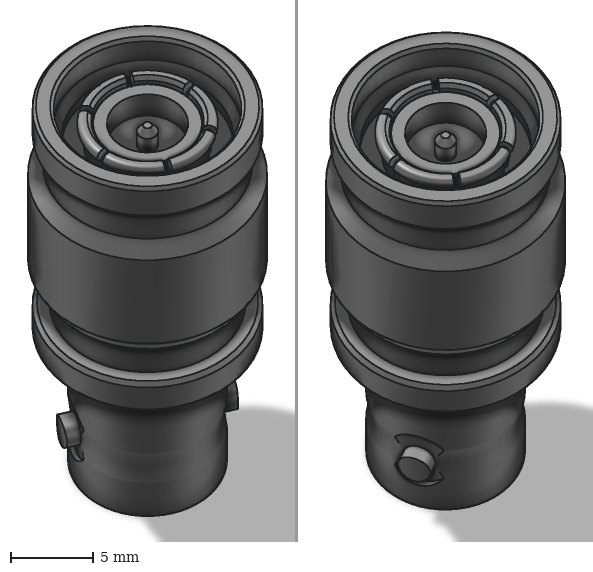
import cadquery as cq


jack_radius = 4.85
groove_waist_radius = 4.7
groove_height = 4.2
groove_half_width = 1.3
lug_height = 4.15
lug_radius = 1.05
lug_reach = 5.55
spot_floor_offset = 4.57
spot_floor_radius = 2.05
spot_rim_radius = 2.25

flange_bottom = 11.3
flange_top = 13.78
flange_radius = 7.0
flange_chamfer = 0.28
collar_top = 15.75
collar_radius = 6.0
undercut_radius = 4.5

nut_bottom = 16.1
nut_bottom_radius = 6.33
bevel_bottom = 16.7
bevel_bottom_radius = 6.8
bevel_top = 17.25
bevel_top_radius = 6.95
barrel_bottom = 17.65
barrel_top = 24.95
barrel_radius = 7.3
nut_neck_bottom = 25.9
nut_neck_radius = 6.4
rim_bottom = 28.35
rim_top = 30.9
rim_radius = 7.0
rim_chamfer = 0.22

mouth_radius = 5.72
mouth_cone_top = 29.05
mouth_cone_bottom = 28.27
socket_radius = 5.22
socket_floor = 27.5

ring_top = 29.85
ring_outer_radius = 3.9
ring_inner_radius = 3.43
ring_lead_in = 0.25
bead_radius = 4.3
bead_height = 0.85
slot_width = 0.43
slot_count = 6

insulator_top = 29.4
insulator_radius = 3.3
insulator_bore_radius = 2.47
contact_top = 29.23
contact_shoulder = 28.7
contact_radius = 0.65
contact_tip_radius = 0.28


def revolve_outline(outline):
    """Close an XZ outline (X = radius, Y = height) and turn it about Z."""
    return outline.close().revolve(360, (0, 0, 0), (0, 1, 0))


def make_body():
    outline = (
        cq.Workplane("XZ")
        .moveTo(0, 0)
        .lineTo(jack_radius, 0)
        .lineTo(jack_radius, groove_height - groove_half_width)
        .threePointArc(
            (groove_waist_radius, groove_height),
            (jack_radius, groove_height + groove_half_width),
        )
        .lineTo(jack_radius, flange_bottom)
        .lineTo(flange_radius - flange_chamfer, flange_bottom)
        .lineTo(flange_radius, flange_bottom + flange_chamfer)
        .lineTo(flange_radius, flange_top - flange_chamfer)
        .lineTo(flange_radius - flange_chamfer, flange_top)
        .lineTo(collar_radius, flange_top)
        .lineTo(collar_radius, collar_top)
        .lineTo(undercut_radius, collar_top)
        .lineTo(undercut_radius, nut_bottom)
        .lineTo(nut_bottom_radius, nut_bottom)
        .lineTo(bevel_bottom_radius, bevel_bottom)
        .lineTo(bevel_top_radius, bevel_top)
        .lineTo(barrel_radius, barrel_bottom)
        .lineTo(barrel_radius, barrel_top)
        .lineTo(nut_neck_radius, nut_neck_bottom)
        .lineTo(nut_neck_radius, rim_bottom)
        .lineTo(rim_radius - rim_chamfer, rim_bottom)
        .lineTo(rim_radius, rim_bottom + rim_chamfer)
        .lineTo(rim_radius, rim_top - rim_chamfer)
        .lineTo(rim_radius - rim_chamfer, rim_top)
        .lineTo(mouth_radius + rim_chamfer, rim_top)
        .lineTo(mouth_radius, rim_top - rim_chamfer)
        .lineTo(mouth_radius, mouth_cone_top)
        .lineTo(socket_radius, mouth_cone_bottom)
        .lineTo(socket_radius, socket_floor)
        .lineTo(0, socket_floor)
    )
    return revolve_outline(outline)


def make_contact_ring():
    outline = (
        cq.Workplane("XZ")
        .moveTo(ring_inner_radius, socket_floor)
        .lineTo(ring_outer_radius, socket_floor)
        .lineTo(ring_outer_radius, ring_top - bead_height)
        .threePointArc(
            (bead_radius, ring_top - bead_height / 2),
            (ring_outer_radius, ring_top),
        )
        .lineTo(ring_inner_radius + ring_lead_in, ring_top)
        .lineTo(ring_inner_radius, ring_top - ring_lead_in)
    )
    ring = revolve_outline(outline)
    bar = cq.Workplane("XY", origin=(0, 0, socket_floor)).box(
        2 * socket_radius, slot_width, ring_top - socket_floor, centered=(True, True, False)
    )
    for index in range(slot_count // 2):
        ring = ring.cut(bar.rotate((0, 0, 0), (0, 0, 1), index * 360 / slot_count))
    return ring


def make_insulator():
    return (
        cq.Workplane("XY", origin=(0, 0, socket_floor))
        .circle(insulator_radius)
        .circle(insulator_bore_radius)
        .extrude(insulator_top - socket_floor)
    )


def make_centre_contact():
    outline = (
        cq.Workplane("XZ")
        .moveTo(0, socket_floor)
        .lineTo(contact_radius, socket_floor)
        .lineTo(contact_radius, contact_shoulder)
        .lineTo(contact_tip_radius, contact_top)
        .lineTo(0, contact_top)
    )
    return revolve_outline(outline)


def make_spot_face_cutter():
    """Cone frustum on the -Y side, widening outwards from the spot face."""
    wall_slope = (spot_rim_radius - spot_floor_radius) / (jack_radius - spot_floor_offset)
    outer_radius = spot_floor_radius + wall_slope * (lug_reach - spot_floor_offset)
    return cq.Workplane(
        cq.Solid.makeCone(
            spot_floor_radius,
            outer_radius,
            lug_reach - spot_floor_offset,
            pnt=cq.Vector(0, -spot_floor_offset, groove_height),
            dir=cq.Vector(0, -1, 0),
        )
    )


def make_lugs():
    """Cross pin through the jack, its ends crowned to a cylinder about Z."""
    pin = (
        cq.Workplane("XZ", origin=(0, 0, lug_height))
        .circle(lug_radius)
        .extrude(lug_reach, both=True)
    )
    crown = cq.Workplane("XY").circle(lug_reach).extrude(flange_bottom)
    return pin.intersect(crown)


result = make_body()
spot_face_cutter = make_spot_face_cutter()
for angle in (0, 180):
    result = result.cut(spot_face_cutter.rotate((0, 0, 0), (0, 0, 1), angle))
result = (
    result.union(make_lugs())
    .union(make_contact_ring())
    .union(make_insulator())
    .union(make_centre_contact())
)